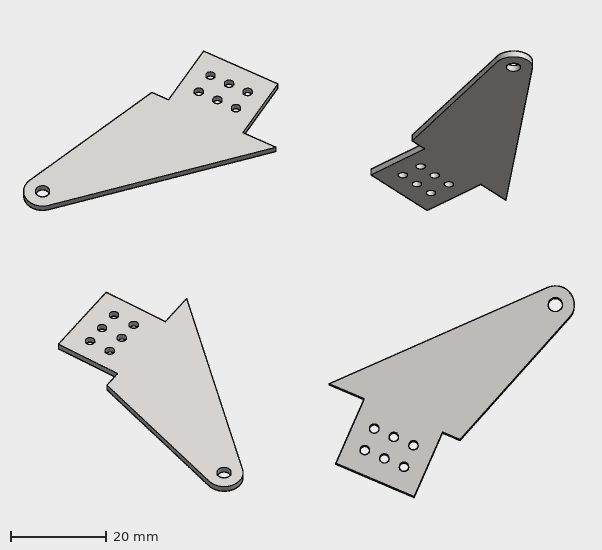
import cadquery as cq
import math

thickness = 1.5
pivot_radius = 4.0
pivot_hole_diameter = 3.0

shoulder_y = 34.45
shoulder_left_x = 6.95
shoulder_width = 30.0
shoulder_right_x = shoulder_left_x + shoulder_width

left_shoulder_length = 4.0
tab_width = 18.0
tab_length = 15.05
tab_left_x = shoulder_left_x + left_shoulder_length
tab_right_x = tab_left_x + tab_width
tab_top_y = shoulder_y + tab_length

tab_hole_diameter = 2.0
hole_columns = 3
hole_rows = 2
column_pitch = tab_width / (hole_columns + 1)
row_pitch = tab_length / (hole_rows + 1)


def tangent_point(x, y, side):
    """Point where a line from (x, y) touches the pivot round; side is +1 or -1."""
    distance = math.hypot(x, y)
    angle = math.atan2(y, x) + side * math.acos(pivot_radius / distance)
    return (pivot_radius * math.cos(angle), pivot_radius * math.sin(angle))


def make_plate():
    left_tangent = tangent_point(shoulder_left_x, shoulder_y, 1)
    right_tangent = tangent_point(shoulder_right_x, shoulder_y, -1)
    return (
        cq.Workplane("XY")
        .moveTo(*left_tangent)
        .lineTo(shoulder_left_x, shoulder_y)
        .lineTo(tab_left_x, shoulder_y)
        .lineTo(tab_left_x, tab_top_y)
        .lineTo(tab_right_x, tab_top_y)
        .lineTo(tab_right_x, shoulder_y)
        .lineTo(shoulder_right_x, shoulder_y)
        .lineTo(*right_tangent)
        .threePointArc((0, -pivot_radius), left_tangent)
        .close()
        .extrude(thickness)
    )


def make_hole_cutters():
    pivot_hole = cq.Workplane("XY").circle(pivot_hole_diameter / 2).extrude(thickness)
    tab_holes = (
        cq.Workplane("XY")
        .center((tab_left_x + tab_right_x) / 2, (shoulder_y + tab_top_y) / 2)
        .rarray(column_pitch, row_pitch, hole_columns, hole_rows)
        .circle(tab_hole_diameter / 2)
        .extrude(thickness)
    )
    return pivot_hole.add(tab_holes).combine()


result = make_plate().cut(make_hole_cutters())